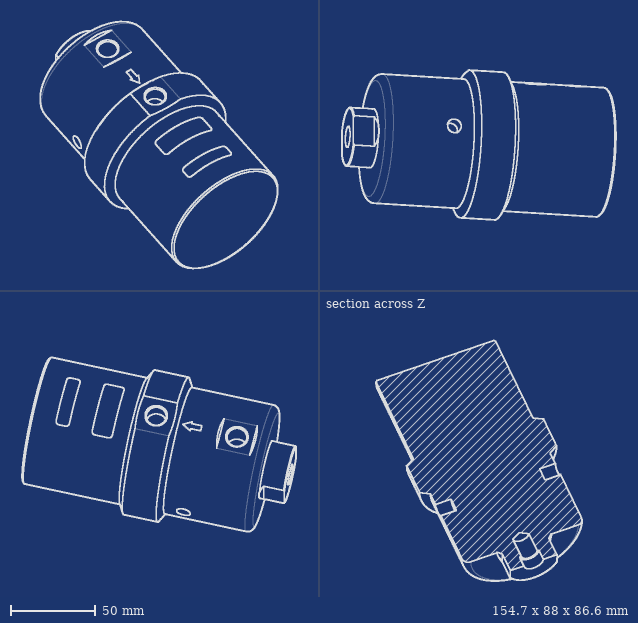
import cadquery as cq
import math

total_length = 154.7
body_radius = 38.5
body_front = 14.7
body_front_fillet = 4.0
body_rear_chamfer = 1.0

shaft_radius = 17.5
shaft_chamfer = 0.5
shaft_flat_width = 30.0
shaft_flat_end = 12.7
thread_diameter = 12.4
thread_depth = 7.0
shaft_drill_diameter = 10.2
shaft_drill_depth = 20.0
drill_point_angle = 118.0

collar_radius = 44.0
collar_start = 68.2
collar_length = 27.0
collar_flank_angle = 30.0
collar_flat_height = 42.6

port_diameter = 11.8
port_mouth_diameter = 13.3
front_port_x = 32.5
front_port_floor_radius = 22.0
collar_port_floor_radius = 33.0
port_seat_length = 20.2
port_seat_height = 37.2

side_hole_x = 56.0
side_hole_diameter = 8.3
side_hole_depth = 10.0

raised_height = 0.1
arrow_start = 54.2
arrow_neck = 60.3
arrow_tip = 65.5
arrow_stem_half_width = 1.7
arrow_head_half_width = 3.0
plate_corner_radius = 2.0
large_plate_x = 111.0
large_plate_size = (12.3, 34.0)
small_plate_x = 135.4
small_plate_size = (8.1, 31.4)

collar_port_x = collar_start + collar_length / 2


def cylinder_x(radius, start, length):
    return cq.Workplane("YZ", origin=(start, 0, 0)).circle(radius).extrude(length)


def make_body():
    body = cylinder_x(body_radius, body_front, total_length - body_front)
    body = body.faces("<X").edges().fillet(body_front_fillet)
    return body.faces(">X").edges().chamfer(body_rear_chamfer)


def make_collar():
    rise = collar_radius - body_radius
    flank_length = rise * math.tan(math.radians(collar_flank_angle))
    collar_end = collar_start + collar_length
    collar = (
        cq.Workplane("XY")
        .moveTo(collar_start, 0)
        .lineTo(collar_start, body_radius)
        .lineTo(collar_start + flank_length, collar_radius)
        .lineTo(collar_end - flank_length, collar_radius)
        .lineTo(collar_end, body_radius)
        .lineTo(collar_end, 0)
        .close()
        .revolve(360, (0, 0, 0), (1, 0, 0))
    )
    flat_plane = cq.Workplane("XY", origin=(collar_port_x, 0, collar_flat_height))
    above_flat = flat_plane.rect(collar_length, 2 * collar_radius).extrude(collar_radius)
    return collar.cut(above_flat)


def make_shaft():
    shaft = cylinder_x(shaft_radius, 0, body_front)
    return shaft.faces("<X").edges().chamfer(shaft_chamfer)


def make_wrench_flat(side):
    """Material outside one wrench flat, running out at 45 degrees to just behind the body face."""
    flat_y = side * shaft_flat_width / 2
    edge_y = side * shaft_radius
    runout = shaft_radius - shaft_flat_width / 2
    outline = (
        cq.Workplane("XY")
        .moveTo(0, flat_y)
        .lineTo(shaft_flat_end, flat_y)
        .lineTo(shaft_flat_end + runout, edge_y)
        .lineTo(0, edge_y)
        .close()
        .extrude(shaft_radius, both=True)
    )
    return outline.intersect(cylinder_x(shaft_radius, 0, shaft_flat_end + runout))


def make_shaft_hole():
    """Blind axial hole: thread diameter first, then the narrower drilled end with its point."""
    thread_radius = thread_diameter / 2
    drill_radius = shaft_drill_diameter / 2
    point_length = drill_radius / math.tan(math.radians(drill_point_angle / 2))
    return (
        cq.Workplane("XY")
        .lineTo(0, thread_radius)
        .lineTo(thread_depth, thread_radius)
        .lineTo(thread_depth, drill_radius)
        .lineTo(shaft_drill_depth, drill_radius)
        .lineTo(shaft_drill_depth + point_length, 0)
        .close()
        .revolve(360, (0, 0, 0), (1, 0, 0))
    )


def make_port_seat():
    """Recess across the top of the body with ends sloped at 45 degrees."""
    half_length = port_seat_length / 2
    rise = body_radius - port_seat_height
    return (
        cq.Workplane("XZ", origin=(front_port_x, 0, port_seat_height))
        .moveTo(-half_length, 0)
        .lineTo(half_length, 0)
        .lineTo(half_length + rise, rise)
        .lineTo(-half_length - rise, rise)
        .close()
        .extrude(body_radius, both=True)
    )


def make_port(x, top, floor_radius):
    """Port hole with a 45 degree mouth; the floor is part of a coaxial cylinder."""
    radius = port_diameter / 2
    mouth_radius = port_mouth_diameter / 2
    port = (
        cq.Workplane("XZ", origin=(x, 0, 0))
        .lineTo(radius, 0)
        .lineTo(radius, top - (mouth_radius - radius))
        .lineTo(mouth_radius, top)
        .lineTo(0, top)
        .close()
        .revolve(360, (0, 0, 0), (0, 1, 0))
    )
    return port.cut(cylinder_x(floor_radius, x - port_diameter, 2 * port_diameter))


def make_side_hole(side):
    bottom = body_radius - side_hole_depth
    hole = cq.Workplane("XZ", origin=(side_hole_x, side * bottom, 0)).circle(side_hole_diameter / 2)
    return hole.extrude(-side * side_hole_depth)


def make_raised_marks():
    """Arrow and label plates, standing just proud of the body surface."""
    marks = (
        cq.Workplane("XY")
        .moveTo(arrow_start, -arrow_stem_half_width)
        .lineTo(arrow_neck, -arrow_stem_half_width)
        .lineTo(arrow_neck, -arrow_head_half_width)
        .lineTo(arrow_tip, 0)
        .lineTo(arrow_neck, arrow_head_half_width)
        .lineTo(arrow_neck, arrow_stem_half_width)
        .lineTo(arrow_start, arrow_stem_half_width)
        .close()
        .extrude(collar_radius)
    )
    for x, size in ((large_plate_x, large_plate_size), (small_plate_x, small_plate_size)):
        plate = cq.Workplane("XY", origin=(x, 0, 0)).rect(*size).extrude(collar_radius)
        marks = marks.union(plate.edges("|Z").fillet(plate_corner_radius))
    return marks.intersect(cylinder_x(body_radius + raised_height, body_front, total_length - body_front))


result = make_body().union(make_shaft()).union(make_collar())
result = result.cut(make_shaft_hole()).cut(make_port_seat())
result = result.cut(make_port(front_port_x, port_seat_height, front_port_floor_radius))
result = result.cut(make_port(collar_port_x, collar_flat_height, collar_port_floor_radius))
for side in (-1, 1):
    result = result.cut(make_wrench_flat(side))
    result = result.cut(make_side_hole(side))
result = result.union(make_raised_marks())